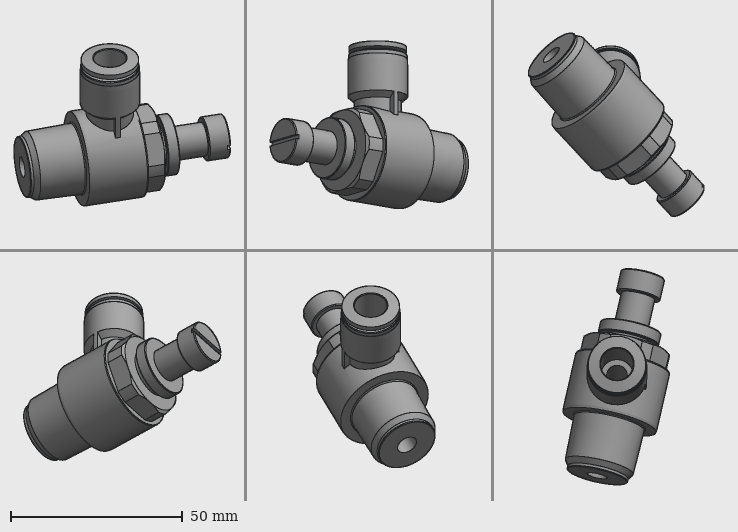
import cadquery as cq
import math


THREAD_END_Y = -26.55
THREAD_TIP_Y = -25.5
THREAD_TAPER_END_Y = -23.8
BODY_FRONT_Y = -10.05
BODY_BACK_Y = 7.8
HEX_END_Y = 13.5
COLLAR_FRONT_Y = 15.15
COLLAR_BACK_Y = 18.7
HEAD_FRONT_Y = 28.25
HEAD_END_Y = 34.75

BODY_DIA = 28.0
THREAD_RELIEF_DIA = 21.6
THREAD_LARGE_DIA = 20.95
THREAD_SMALL_DIA = 20.3
THREAD_TIP_DIA = 18.0
NECK_DIA = 14.4
COLLAR_DIA = 18.0
SHANK_DIA = 10.0
HEAD_DIA = 13.0
HEX_ACROSS_FLATS = 23.8
HEX_ROUNDED_DIA = 25.55

EDGE_BREAK = 0.25
HEAD_BREAK = 0.3
BODY_BACK_BREAK = 0.35
BODY_FRONT_BREAK = 0.8
BODY_BREAK_RADIAL = 0.1
THREAD_RELIEF_LENGTH = 0.35
HEX_CHAMFER_LENGTH = 0.6
SLOT_WIDTH = 1.3
SLOT_DEPTH = 1.0

PORT_NECK_TOP_Z = 16.25
SLEEVE_BOTTOM_Z = 17.9
SLEEVE_TAPER_Z = 27.35
SLEEVE_TOP_Z = 29.0
CAP_TOP_Z = 30.35
FLANGE_BOTTOM_Z = 31.2
FLANGE_TOP_Z = 32.7
PORT_TOP_Z = 33.2

PORT_NECK_DIA = 13.8
SLEEVE_DIA = 17.5
SLEEVE_TOP_DIA = 17.35
CAP_DIA = 17.15
GROOVE_DIA = 11.5
FLANGE_DIA = 16.8
BORE_DIA = 9.5
BORE_MOUTH_DIA = 10.0
BORE_FLOOR_Z = 17.9
PASSAGE_DIA = 6.0
RIB_WIDTH = 1.55


def revolve_main(stations):
    """Revolve (y, diameter) stations about the Y axis."""
    outline = [(dia / 2, y) for y, dia in stations]
    points = [(0, stations[0][0])] + outline + [(0, stations[-1][0])]
    return cq.Workplane("XY").polyline(points).close().revolve(360, (0, 0, 0), (0, 1, 0))


def revolve_port(stations):
    """Revolve (z, diameter) stations about the Z axis."""
    outline = [(dia / 2, z) for z, dia in stations]
    points = [(0, stations[0][0])] + outline + [(0, stations[-1][0])]
    return cq.Workplane("XZ").polyline(points).close().revolve(360, (0, 0, 0), (0, 1, 0))


def cylinder_along_y(dia, start, end):
    return cq.Workplane("XZ", origin=(0, start, 0)).circle(dia / 2).extrude(start - end)


def thread_and_body():
    body_edge_dia = BODY_DIA - 2 * BODY_BREAK_RADIAL
    return revolve_main([
        (THREAD_END_Y, THREAD_TIP_DIA - 2 * EDGE_BREAK),
        (THREAD_END_Y + EDGE_BREAK, THREAD_TIP_DIA),
        (THREAD_TIP_Y, THREAD_TIP_DIA),
        (THREAD_TAPER_END_Y, THREAD_SMALL_DIA),
        (BODY_FRONT_Y - THREAD_RELIEF_LENGTH, THREAD_LARGE_DIA),
        (BODY_FRONT_Y, THREAD_RELIEF_DIA),
        (BODY_FRONT_Y, body_edge_dia),
        (BODY_FRONT_Y + BODY_FRONT_BREAK, BODY_DIA),
        (BODY_BACK_Y - BODY_BACK_BREAK, BODY_DIA),
        (BODY_BACK_Y, body_edge_dia),
    ])


def hex_nut():
    """Hexagon with flats at top and bottom, rounded corners and a chamfered end."""
    across_corners = HEX_ACROSS_FLATS / math.cos(math.pi / 6)
    hexagon = (
        cq.Workplane("XZ", origin=(0, BODY_BACK_Y, 0))
        .polygon(6, across_corners)
        .extrude(BODY_BACK_Y - HEX_END_Y)
    )
    envelope = revolve_main([
        (BODY_BACK_Y, HEX_ROUNDED_DIA),
        (HEX_END_Y - HEX_CHAMFER_LENGTH, HEX_ROUNDED_DIA),
        (HEX_END_Y, HEX_ACROSS_FLATS),
    ])
    return hexagon.intersect(envelope)


def adjusting_screw():
    neck = cylinder_along_y(NECK_DIA, HEX_END_Y, COLLAR_FRONT_Y)
    collar = cylinder_along_y(COLLAR_DIA, COLLAR_FRONT_Y, COLLAR_BACK_Y).edges().chamfer(EDGE_BREAK)
    shank = cylinder_along_y(SHANK_DIA, COLLAR_BACK_Y, HEAD_FRONT_Y)
    head = cylinder_along_y(HEAD_DIA, HEAD_FRONT_Y, HEAD_END_Y).edges().chamfer(HEAD_BREAK)
    slot = cq.Workplane("XY").box(HEAD_DIA, 2 * SLOT_DEPTH, SLOT_WIDTH).translate((0, HEAD_END_Y, 0))
    return neck.union(collar).union(shank).union(head.cut(slot))


def tube_port():
    return revolve_port([
        (0, PORT_NECK_DIA),
        (PORT_NECK_TOP_Z, PORT_NECK_DIA),
        (SLEEVE_BOTTOM_Z, SLEEVE_DIA),
        (SLEEVE_TAPER_Z, SLEEVE_DIA),
        (SLEEVE_TOP_Z, SLEEVE_TOP_DIA),
        (SLEEVE_TOP_Z, CAP_DIA),
        (CAP_TOP_Z - EDGE_BREAK, CAP_DIA),
        (CAP_TOP_Z, CAP_DIA - 2 * EDGE_BREAK),
        (CAP_TOP_Z, GROOVE_DIA),
        (FLANGE_BOTTOM_Z, GROOVE_DIA),
        (FLANGE_BOTTOM_Z, FLANGE_DIA),
        (FLANGE_TOP_Z, FLANGE_DIA),
        (PORT_TOP_Z, BORE_MOUTH_DIA),
    ])


def side_ribs():
    """Web across the port neck whose ends are flush with the sleeve."""
    web = cq.Workplane("XY").rect(SLEEVE_DIA, RIB_WIDTH).extrude(SLEEVE_BOTTOM_Z)
    sleeve_envelope = cq.Workplane("XY").circle(SLEEVE_DIA / 2).extrude(SLEEVE_BOTTOM_Z)
    return web.intersect(sleeve_envelope)


def flow_passage():
    """Stepped tube bore, joined to the threaded end through a spherical elbow."""
    mouth_depth = (BORE_MOUTH_DIA - BORE_DIA) / 2
    port_bore = revolve_port([
        (0, PASSAGE_DIA),
        (BORE_FLOOR_Z, PASSAGE_DIA),
        (BORE_FLOOR_Z, BORE_DIA),
        (PORT_TOP_Z - mouth_depth, BORE_DIA),
        (PORT_TOP_Z, BORE_MOUTH_DIA),
    ])
    thread_bore = cylinder_along_y(PASSAGE_DIA, THREAD_END_Y, 0)
    elbow = cq.Workplane("XY").sphere(PASSAGE_DIA / 2)
    return port_bore.union(thread_bore).union(elbow)


outside = thread_and_body().union(hex_nut()).union(adjusting_screw()).union(tube_port()).union(side_ribs())
result = outside.cut(flow_passage())